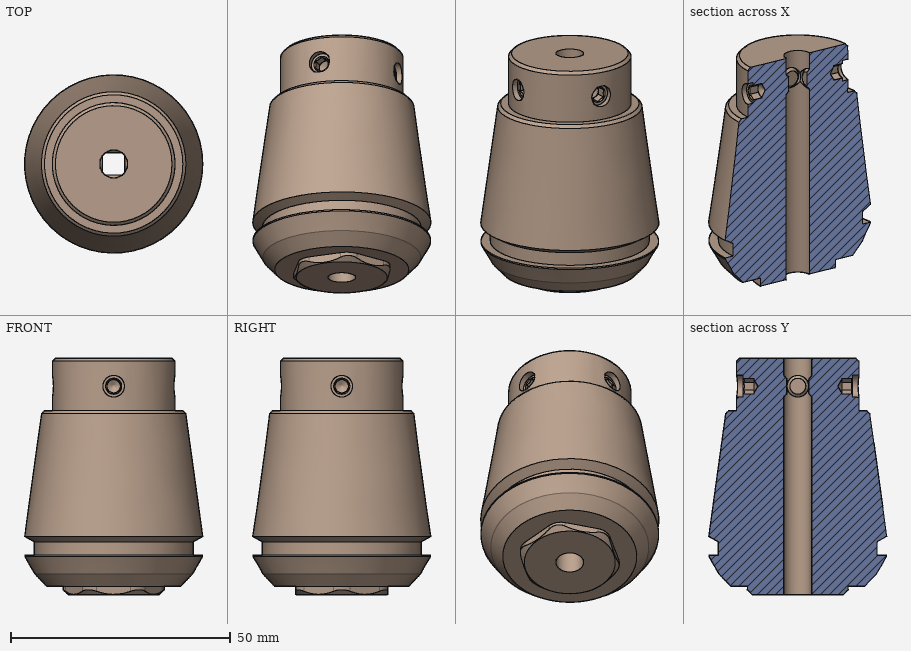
import cadquery as cq
import math

total_height = 54.0
nut_height = 1.95
flange_step_z = 4.8
flange_edge_z = 8.75
flange_top_z = 9.05
groove_top_z = 12.1
sleeve_bottom_z = 13.35
shoulder_z = 42.0

flange_bottom_dia = 30.55
flange_step_dia = 36.0
flange_dia = 40.55
groove_dia = 36.3
sleeve_bottom_dia = 40.65
sleeve_top_dia = 32.95
neck_dia = 27.95
bore_dia = 6.3
edge_chamfer = 0.7

nut_across_flats = 21.0
nut_corner_radius = 3.8
nut_base_dia = 20.75

screw_count = 4
screw_dia = 4.9
screw_length = 10.0
screw_tip_gap = 5.0
screw_tip_offset = screw_tip_gap / 2
screw_tip_chamfer = 0.65
screw_z = 47.6
socket_across_flats = 3.0
socket_depth = 2.5
socket_mouth_dia = 3.65
socket_mouth_half_angle = 45
socket_cone_half_angle = 60

corners_per_flats = 1 / math.cos(math.pi / 6)


def turned_body():
    """Flange, groove, tapered sleeve and neck as one revolved outline."""
    outline = [
        (0, nut_height),
        (flange_bottom_dia / 2, nut_height),
        (flange_step_dia / 2, flange_step_z),
        (flange_dia / 2, flange_edge_z),
        (flange_dia / 2, flange_top_z),
        (groove_dia / 2, flange_top_z),
        (groove_dia / 2, groove_top_z),
        (sleeve_bottom_dia / 2, sleeve_bottom_z),
        (sleeve_top_dia / 2, shoulder_z - edge_chamfer),
        (sleeve_top_dia / 2 - edge_chamfer, shoulder_z),
        (neck_dia / 2, shoulder_z),
        (neck_dia / 2, total_height - edge_chamfer),
        (neck_dia / 2 - edge_chamfer, total_height),
        (0, total_height),
    ]
    return cq.Workplane("XZ").polyline(outline).close().revolve(360, (0, 0), (0, 1))


def hex_nut():
    """Hexagon with flats facing +Y and -Y, rounded corners and a 45 degree cone at the base."""
    across_corners = nut_across_flats * corners_per_flats
    hexagon = cq.Workplane("XY").polygon(6, across_corners).extrude(nut_height)
    hexagon = hexagon.edges("|Z").fillet(nut_corner_radius)
    base_radius = nut_base_dia / 2
    cone_profile = [(0, 0), (base_radius, 0), (base_radius + nut_height, nut_height), (0, nut_height)]
    cone = cq.Workplane("XZ").polyline(cone_profile).close().revolve(360, (0, 0), (0, 1))
    return hexagon.intersect(cone)


def hole_for_screw():
    """Radial hole along +X, from the axis out through the neck."""
    return cq.Workplane("YZ").center(0, screw_z).circle(screw_dia / 2).extrude(neck_dia)


def inward_cone(base_x, base_dia, half_angle):
    """Pointed cone on the screw axis, its tip toward the center of the part."""
    radius = base_dia / 2
    height = radius / math.tan(math.radians(half_angle))
    base_center = cq.Vector(base_x, 0, screw_z)
    return cq.Workplane(cq.Solid.makeCone(radius, 0, height, base_center, cq.Vector(-1, 0, 0)))


def set_screw():
    """Set screw along +X with a chamfered tip and a hex socket ending in a drill cone."""
    head_x = screw_tip_offset + screw_length
    shank = (
        cq.Workplane("YZ", origin=(screw_tip_offset, 0, screw_z))
        .circle(screw_dia / 2)
        .extrude(screw_length)
        .faces("<X")
        .chamfer(screw_tip_chamfer)
    )
    socket_corners = socket_across_flats * corners_per_flats
    head_plane = cq.Workplane(cq.Plane(origin=(head_x, 0, screw_z), xDir=(0, 0, 1), normal=(1, 0, 0)))
    socket = head_plane.polygon(6, socket_corners).extrude(-socket_depth)
    mouth = inward_cone(head_x, socket_mouth_dia, socket_mouth_half_angle)
    drill_cone = inward_cone(head_x - socket_depth, socket_across_flats, socket_cone_half_angle)
    return shank.cut(socket).cut(mouth).cut(drill_cone)


bore = cq.Workplane("XY").circle(bore_dia / 2).extrude(total_height)
result = turned_body().union(hex_nut()).cut(bore)

for index in range(screw_count):
    angle = index * 360 / screw_count
    result = result.cut(hole_for_screw().rotate((0, 0, 0), (0, 0, 1), angle))
    result = result.union(set_screw().rotate((0, 0, 0), (0, 0, 1), angle))